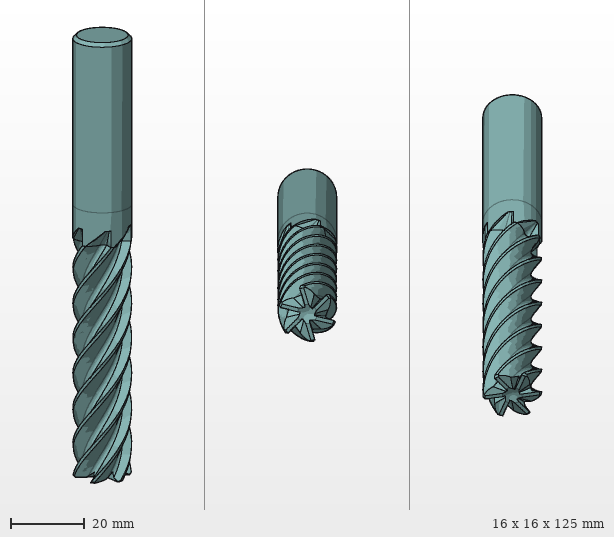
import cadquery as cq
import math


diameter = 16.0
radius = diameter / 2
total_length = 125.0
cutting_length = 67.0
clamping_length = 48.0
neck_end = total_length - clamping_length
shank_chamfer = 1.0

flute_count = 6
tooth_pitch = 360.0 / flute_count
helix_angle = 40.0
lead = math.pi * diameter / math.tan(math.radians(helix_angle))
total_twist = 360.0 * cutting_length / lead

cutting_edge = (radius, 0.0)
land_end = (7.85, 7.5)
back_middle = (6.75, 20.0)
gullet_start = (5.45, 35.0)
gullet_middle = (5.1, 46.0)
rake_foot = (5.5, 55.0)

runout_length = 4.7
runout_tip_width = 11.0
runout_tip_floor = 7.9

cutter_clearance = 0.5

corner_width = 0.6
corner_height = 0.6

end_land_width = 1.1
gash_outer_radius = radius + 2 * cutter_clearance
gash_outer_depth = 4.2
gash_outer_width = 4.5
relief_outer_height = 1.0
gash_inner_radius = 2.0
gash_inner_depth = 0.9
gash_inner_width = 0.6
relief_inner_height = 0.3
center_dish_radius = 2.7
center_dish_depth = 0.8


def polar(point, turn=0.0):
    """Cartesian (x, y) of a (radius, angle in degrees) point turned about the axis."""
    distance, angle = point
    direction = math.radians(angle + turn)
    return (distance * math.cos(direction), distance * math.sin(direction))


def fluted_blank():
    """The six-tooth cross-section swept up along the helix."""
    outline = cq.Workplane("XY").moveTo(*polar(cutting_edge))
    for tooth in range(flute_count):
        turn = tooth * tooth_pitch
        outline = (
            outline.lineTo(*polar(land_end, turn))
            .threePointArc(polar(back_middle, turn), polar(gullet_start, turn))
            .threePointArc(polar(gullet_middle, turn), polar(rake_foot, turn))
        )
        if tooth < flute_count - 1:
            outline = outline.lineTo(*polar(cutting_edge, turn + tooth_pitch))
    return outline.close().twistExtrude(cutting_length, total_twist)


def corner_bevel():
    """Ring of waste below and outside the bevelled lower corner of the teeth."""
    slope = corner_height / corner_width
    inner = radius - corner_width - cutter_clearance
    outer = radius + cutter_clearance
    outline = [
        (inner, -cutter_clearance * slope),
        (outer, -cutter_clearance * slope),
        (outer, corner_height + cutter_clearance * slope),
    ]
    return cq.Workplane("XZ").polyline(outline).close().revolve(360, (0, 0), (0, 1))


def gash_section(distance, depth, floor_width, relief_height):
    """Outline across a gash: upright at the cutting edge, a steep floor, then a shallow relief
    that ends at the land of the tooth ahead."""
    pitch = math.radians(tooth_pitch)
    full_width = distance * math.tan(pitch) - end_land_width / math.cos(pitch)
    corners = [
        cq.Vector(distance, 0, 0),
        cq.Vector(distance, 0, depth),
        cq.Vector(distance, -floor_width, relief_height),
        cq.Vector(distance, -full_width, 0),
    ]
    return cq.Wire.makePolygon(corners, close=True)


def end_gash():
    """The notch in front of one end tooth, deeper and wider outwards."""
    inner = gash_section(gash_inner_radius, gash_inner_depth, gash_inner_width, relief_inner_height)
    outer = gash_section(gash_outer_radius, gash_outer_depth, gash_outer_width, relief_outer_height)
    return cq.Solid.makeLoft([inner, outer], True)


def build_cutting_part():
    """Fluted blank with bevelled corners, gashed end teeth and a dished center."""
    body = fluted_blank().cut(corner_bevel())
    gash = end_gash()
    for tooth in range(flute_count):
        body = body.cut(cq.Workplane(gash.rotate((0, 0, 0), (0, 0, 1), tooth * tooth_pitch)))
    return body.cut(cq.Workplane(cq.Solid.makeCone(center_dish_radius, 0, center_dish_depth)))


def shank_blank():
    """Neck and clamping cylinder of equal diameter, chamfered at the top."""
    outline = [
        (0, cutting_length),
        (-radius, cutting_length),
        (-radius, neck_end),
        (-radius, total_length - shank_chamfer),
        (-radius + shank_chamfer, total_length),
        (0, total_length),
    ]
    return cq.Workplane("YZ").polyline(outline).close().revolve(360, (0, 0), (0, 1), clean=False)


def runout_section(height, points):
    """One closed section of a flute run-out through outline points listed from tooth back to rake face."""
    mouth_start, back_top, back_mid, back_foot, gullet_mid, rake_low, rake_top, mouth_end = points
    mouth_middle = (mouth_start[0], (mouth_start[1] + mouth_end[1]) / 2)
    return (
        cq.Workplane("XY", origin=(0, 0, height))
        .moveTo(*polar(mouth_start))
        .lineTo(*polar(back_top))
        .threePointArc(polar(back_mid), polar(back_foot))
        .threePointArc(polar(gullet_mid), polar(rake_low))
        .lineTo(*polar(rake_top))
        .lineTo(*polar(mouth_end))
        .threePointArc(polar(mouth_middle), polar(mouth_start))
        .wire()
        .val()
    )


def flute_runout():
    """The end of one flute: its full section at the cutting part, closing to a narrow shallow tip."""
    outside = radius + cutter_clearance
    full = [
        (outside, land_end[1]),
        land_end,
        back_middle,
        gullet_start,
        gullet_middle,
        rake_foot,
        (radius, tooth_pitch),
        (outside, tooth_pitch),
    ]
    tip_start = tooth_pitch - runout_tip_width
    tip_step = runout_tip_width / 6
    tip_floor = [(runout_tip_floor, tip_start + step * tip_step) for step in range(5)]
    tip = [(outside, tip_start), *tip_floor, (radius, tooth_pitch), (outside, tooth_pitch)]
    bottom = runout_section(cutting_length, full)
    top = runout_section(cutting_length + runout_length, tip)
    return cq.Solid.makeLoft([bottom, top], True)


def build_shank():
    """Shank with the flutes running out into its neck."""
    body = shank_blank()
    runout = flute_runout()
    for flute in range(flute_count):
        turn = total_twist + flute * tooth_pitch
        body = body.cut(cq.Workplane(runout.rotate((0, 0, 0), (0, 0, 1), turn)), clean=False)
    return body


cutting_part = build_cutting_part()
shank = build_shank()
result = cq.Compound.makeCompound([cutting_part.val(), shank.val()])